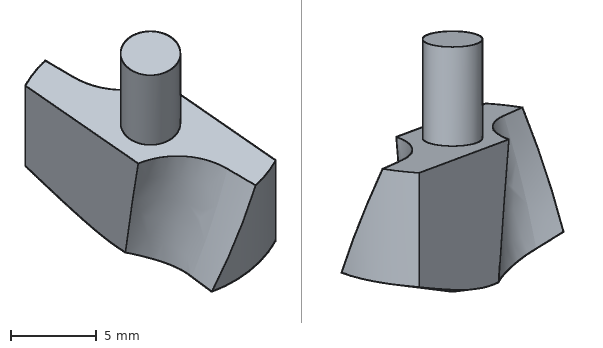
import cadquery as cq
import math

head_diameter = 15.77
head_thickness = 5.68
overall_height = 15.3
head_top = 9.3
cone_height = 2.4
shank_diameter = 3.5

face_outer_y = 0.58
face_angle = 4.6
face_inner_x = 5.77
flute_radius = 4.68
twist_rate = 3.488
clearance = 2.37

head_radius = head_diameter / 2


def make_head():
    """Conical-pointed cylinder trimmed to two parallel flats."""
    body = (
        cq.Workplane("XZ")
        .polyline([(0, 0), (head_radius, cone_height), (head_radius, head_top), (0, head_top)])
        .close()
        .revolve(360, (0, 0), (0, 1))
    )
    slab = cq.Workplane("XY").box(
        head_diameter, head_thickness, head_top, centered=(True, True, False)
    )
    return body.intersect(slab)


def make_flute_cutter():
    """Flute profile twisted about Z so that it matches its nominal shape at the shoulder."""
    angle = math.radians(face_angle)
    outer_x = head_radius + clearance
    outer_y = face_outer_y + clearance * math.tan(angle)
    inner_y = face_outer_y - (head_radius - face_inner_x) * math.tan(angle)
    center_x = face_inner_x + flute_radius * math.sin(angle)
    center_y = inner_y - flute_radius * math.cos(angle)
    middle_angle = math.radians(135)
    arc_middle = (
        center_x + flute_radius * math.cos(middle_angle),
        center_y + flute_radius * math.sin(middle_angle),
    )
    arc_end = (center_x - flute_radius, center_y)
    floor_y = center_y - clearance
    total_twist = twist_rate * head_top
    return (
        cq.Workplane("XY")
        .moveTo(outer_x, outer_y)
        .lineTo(face_inner_x, inner_y)
        .threePointArc(arc_middle, arc_end)
        .lineTo(arc_end[0], floor_y)
        .lineTo(outer_x, floor_y)
        .close()
        .twistExtrude(head_top, total_twist)
        .rotate((0, 0, 0), (0, 0, 1), -total_twist)
    )


def make_shank():
    """Round shank standing on the shoulder."""
    return (
        cq.Workplane("XY")
        .workplane(offset=head_top)
        .circle(shank_diameter / 2)
        .extrude(overall_height - head_top)
    )


result = make_head()
flute_cutter = make_flute_cutter()
for flute_position in (0, 180):
    result = result.cut(flute_cutter.rotate((0, 0, 0), (0, 0, 1), flute_position))
result = result.union(make_shank())